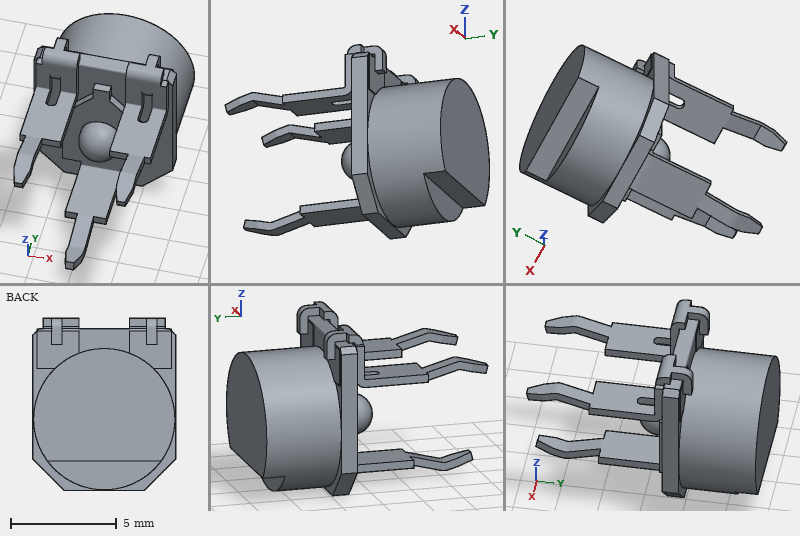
import cadquery as cq
import math


body_radius = 3.36
body_length = 3.7
notch_depth = 1.1
notch_level = -2.0

plate_half_width = 3.4
plate_thickness = 0.8
plate_top = 4.3
plate_bottom = -3.4
bottom_corner = 1.5
top_corner = 0.3
top_edge_round = 0.1
plate_front = -plate_thickness

sheet = 0.4
inner_bend = 0.05
outer_bend = inner_bend + sheet
leg_width = 2.0
tail_width = 0.8
tip_width = 0.4
tip_length = 0.8
tail_slope = 15
sheet_middle = plate_front - sheet / 2
sheet_front = plate_front - sheet

upper_leg_x = 2.2
upper_leg_top = 2.62
upper_leg_end = -4.37
upper_tail_x = 2.51
upper_tail_rise = 1.567
upper_tail_fall = 0.635
shoulder_top = 4.28
hook_top = 4.8
hook_end = 3.54
hook_step = -0.51
hook_inner_x = upper_leg_x - leg_width / 2
hook_outer_x = upper_tail_x + tail_width / 2
slot_x = 2.25
slot_width = 0.5
slot_end = -2.2
tongue_bottom = 3.2

pad_thickness = 0.05
pad_bottom = 2.4

middle_half_width = 1.9
middle_bottom = -2.0
middle_shoulder = 1.1
stem_half_width = 0.4
stem_top = 3.2
lower_leg_top = -2.25
lower_leg_end = -4.3
lower_tail_fall = 1.555
lower_tail_bend = 0.4
lower_tail_rise = 0.5

dome_radius = 1.0
dome_centre = -1.5


def block(x_range, y_range, z_range):
    """Box between the given X, Y and Z limits."""
    low, high = zip(x_range, y_range, z_range)
    size = [b - a for a, b in zip(low, high)]
    return cq.Workplane("XY").box(*size, centered=False).translate(low)


def front_prism(points, y_rear, thickness):
    """Prism with an XZ outline, running from y_rear towards -Y."""
    return cq.Workplane("XZ", origin=(0, y_rear, 0)).polyline(points).close().extrude(thickness)


def polar(point, distance, angle):
    """Point at a distance from another, at an angle measured from +Y towards +Z."""
    turn = math.radians(angle)
    return (point[0] + distance * math.cos(turn), point[1] + distance * math.sin(turn))


def bent_strip(start, heading, moves, x_centre, width):
    """Sheet strip following straights and bends in the YZ plane.

    A move is a straight length, or a pair of turn angle and inner bend radius.
    Returns the strip with the middle point and the heading of its far end.
    """
    half = sheet / 2
    edges = {side: [(None, polar(start, half, heading + side))] for side in (90, -90)}
    position = start
    for move in moves:
        if isinstance(move, tuple):
            turn, inner_radius = move
            inside = math.copysign(90, turn)
            centre = polar(position, inner_radius + half, heading + inside)
            mid_heading = heading + turn / 2
            heading += turn
            position = polar(centre, inner_radius + half, heading - inside)
            for side, edge in edges.items():
                radius = inner_radius if side == inside else inner_radius + sheet
                if radius > 0:
                    middle = polar(centre, radius, mid_heading - inside)
                    edge.append((middle, polar(centre, radius, heading - inside)))
        else:
            position = polar(position, move, heading)
            for side, edge in edges.items():
                edge.append((None, polar(position, half, heading + side)))

    left, right = edges[90], edges[-90]
    outline = cq.Workplane("YZ", origin=(x_centre, 0, 0)).moveTo(*left[0][1])
    for middle, end in left[1:]:
        outline = outline.threePointArc(middle, end) if middle else outline.lineTo(*end)
    outline = outline.lineTo(*right[-1][1])
    for index in range(len(right) - 1, 0, -1):
        middle = right[index][0]
        end = right[index - 1][1]
        outline = outline.threePointArc(middle, end) if middle else outline.lineTo(*end)
    return outline.close().extrude(width / 2, both=True), position, heading


def tail(start, moves, x_centre):
    """Solder tail heading towards -Y, ending in a tapered tip."""
    strip, end, heading = bent_strip(start, 180, moves, x_centre, tail_width)
    normal = polar((0, 0), 1, heading + 90)
    plane = cq.Plane(origin=(x_centre, *end), xDir=(1, 0, 0), normal=(0, *normal))
    tip = (
        cq.Workplane(plane)
        .polyline(
            [
                (-tail_width / 2, 0),
                (tail_width / 2, 0),
                (tip_width / 2, tip_length),
                (-tip_width / 2, tip_length),
            ]
        )
        .close()
        .extrude(sheet / 2, both=True)
    )
    return strip.union(tip)


def make_body():
    body = cq.Workplane("XZ").circle(body_radius).extrude(-body_length)
    notch = block(
        (-body_radius, body_radius),
        (body_length - notch_depth, body_length),
        (-body_radius, notch_level),
    )
    return body.cut(notch)


def make_plate():
    bottom_x = plate_half_width - bottom_corner
    top_x = plate_half_width - top_corner
    outline = [
        (-bottom_x, plate_bottom),
        (bottom_x, plate_bottom),
        (plate_half_width, plate_bottom + bottom_corner),
        (plate_half_width, plate_top - top_corner),
        (top_x, plate_top),
        (-top_x, plate_top),
        (-plate_half_width, plate_top - top_corner),
        (-plate_half_width, plate_bottom + bottom_corner),
    ]
    plate = front_prism(outline, 0, plate_thickness)
    return plate.faces(">Z").edges("|X").fillet(top_edge_round)


def make_upper_leg():
    """Wide angled leg with the slot left by the bent-in tongue."""
    bend_level = upper_leg_top + inner_bend
    leg, _, _ = bent_strip(
        (sheet_middle, shoulder_top),
        270,
        [shoulder_top - bend_level, (-90, inner_bend), sheet_front - inner_bend - upper_leg_end],
        upper_leg_x,
        leg_width,
    )
    slot_sides = (slot_x - slot_width / 2, slot_x + slot_width / 2)
    slot_radius = slot_width / 2
    tongue_axis = tongue_bottom + outer_bend
    leg_bottom = upper_leg_top - sheet
    slot = block(slot_sides, (slot_end + slot_radius, plate_front), (leg_bottom, tongue_axis))
    slot_round = (
        cq.Workplane("XY", origin=(slot_x, slot_end + slot_radius, leg_bottom))
        .circle(slot_radius)
        .extrude(sheet)
    )
    tongue, _, _ = bent_strip(
        (sheet_middle, tongue_axis), 270, [(90, inner_bend)], slot_x, slot_width
    )
    return leg.cut(slot).cut(slot_round).union(tongue)


def make_hook():
    """Hook folded over the plate top, narrowing to a tab that grips the contact pad."""
    bend_level = hook_top - outer_bend
    front_flat = hook_step - (plate_front + inner_bend)
    fold, end, heading = bent_strip(
        (sheet_middle, shoulder_top),
        90,
        [bend_level - shoulder_top, (-90, inner_bend), front_flat],
        (hook_inner_x + hook_outer_x) / 2,
        hook_outer_x - hook_inner_x,
    )
    rear_flat = pad_thickness - inner_bend - hook_step
    tab, _, _ = bent_strip(
        end, heading, [rear_flat, (-90, inner_bend), bend_level - hook_end], slot_x, slot_width
    )
    return fold.union(tab)


def make_upper_terminal():
    moves = [(-tail_slope, 0), upper_tail_rise, (2 * tail_slope, 0), upper_tail_fall]
    upper_tail = tail((upper_leg_end, upper_leg_top - sheet / 2), moves, upper_tail_x)
    pad = block(
        (upper_leg_x - leg_width / 2, upper_leg_x + leg_width / 2),
        (0, pad_thickness),
        (pad_bottom, plate_top - top_edge_round),
    )
    return make_upper_leg().union(make_hook()).union(upper_tail).union(pad)


def make_middle_terminal():
    slope_top = middle_shoulder + middle_half_width - stem_half_width
    outline = [
        (-middle_half_width, middle_bottom),
        (middle_half_width, middle_bottom),
        (middle_half_width, middle_shoulder),
        (stem_half_width, slope_top),
        (stem_half_width, stem_top),
        (-stem_half_width, stem_top),
        (-stem_half_width, slope_top),
        (-middle_half_width, middle_shoulder),
    ]
    flat = front_prism(outline, plate_front, sheet)
    drop = middle_bottom - (lower_leg_top + inner_bend)
    leg, end, _ = bent_strip(
        (sheet_middle, middle_bottom),
        270,
        [drop, (-90, inner_bend), sheet_front - inner_bend - lower_leg_end],
        0,
        leg_width,
    )
    moves = [
        (tail_slope, 0),
        lower_tail_fall,
        (-2 * tail_slope, lower_tail_bend),
        lower_tail_rise,
    ]
    return flat.union(leg).union(tail(end, moves, 0))


def make_dome():
    arc_middle = polar((dome_centre, 0), dome_radius, 135)
    return (
        cq.Workplane("YZ")
        .moveTo(plate_front, 0)
        .lineTo(plate_front, dome_radius)
        .lineTo(dome_centre, dome_radius)
        .threePointArc(arc_middle, (dome_centre - dome_radius, 0))
        .close()
        .revolve(360, (0, 0, 0), (1, 0, 0))
    )


upper_terminal = make_upper_terminal()
result = (
    make_body()
    .union(make_plate())
    .union(make_middle_terminal())
    .union(make_dome())
    .union(upper_terminal)
    .union(upper_terminal.mirror("YZ"))
)